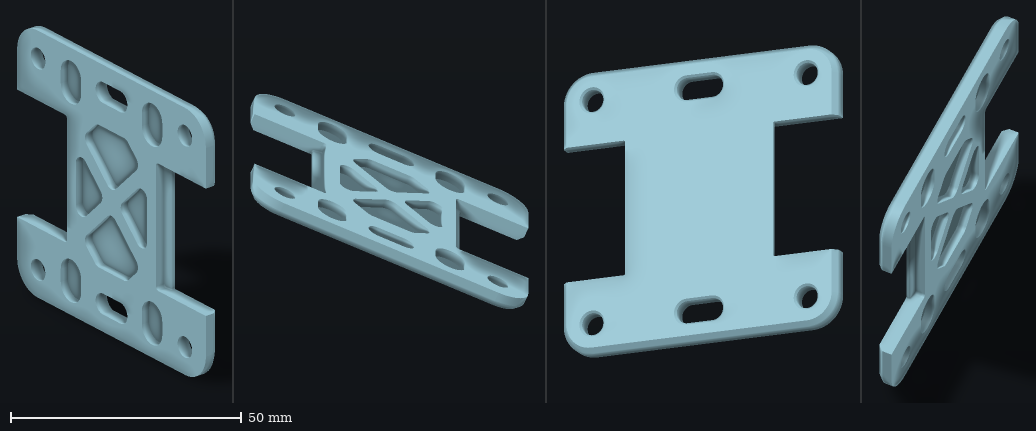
import cadquery as cq
import math

pick_margin = 0.05
clearance = 0.65

width = 65.0
height = 64.0
thickness = 3.5
corner_radius = 7.0

bevel_size = 1.25
bevel_blend = 0.65

notch_half_height = 15.3
web_half_width = 15.35
flange_half_width = 17.5
flange_root_depth = 2.3
flange_slope = 10.0
notch_corner_radius = 0.8
flange_root_fillet = 0.3
flange_edge_radius = 0.3

hole_diameter = 5.0
hole_x = 25.3
hole_z = 25.35
slot_length = 10.9
slot_height = hole_diameter
hole_chamfer = 0.45

pocket_depth = 2.0
oval_width = 7.0
oval_length = 10.2
oval_x = 14.0
oval_z = 23.8
pocket_corner_radius = 2.0
rib_offset = 2.35
side_pocket_x = 12.3
end_pocket_z = 17.1
end_pocket_cut = 22.2


def front_plane(depth=0.0):
    """Sketch plane parallel to the front face, with local axes along +X and +Z."""
    return cq.Workplane(cq.Plane(origin=(0, depth, 0), xDir=(1, 0, 0), normal=(0, -1, 0)))


def plate():
    """Rounded plate with the beveled and blended rim on its back face."""
    body = (
        front_plane()
        .rect(width, height)
        .extrude(-thickness)
        .edges("|Y")
        .fillet(corner_radius)
        .faces(">Y")
        .chamfer(bevel_size)
    )
    bevel_depth = thickness - bevel_size
    bevel_start = cq.selectors.BoxSelector(
        (-width, bevel_depth - pick_margin, -height),
        (width, bevel_depth + pick_margin, height),
    )
    return body.edges(bevel_start).fillet(bevel_blend)


def notch_cutter(side):
    """Clears one side of the web, leaving a flange whose front slopes back to a rounded edge."""
    slope = math.radians(flange_slope)
    reach = width / 2 + clearance
    round_x = flange_half_width - flange_edge_radius
    round_depth = (
        flange_root_depth
        + (round_x - web_half_width) * math.tan(slope)
        + flange_edge_radius / math.cos(slope)
    )
    mid_angle = (slope + math.pi / 2) / 2

    def on_round(angle):
        """Point on that circle, the angle turning from the front towards the side."""
        return (
            round_x + flange_edge_radius * math.sin(angle),
            round_depth - flange_edge_radius * math.cos(angle),
        )

    cutter = (
        cq.Workplane("XY", origin=(0, 0, -notch_half_height))
        .moveTo(web_half_width, -clearance)
        .lineTo(web_half_width, flange_root_depth)
        .lineTo(*on_round(slope))
        .threePointArc(on_round(mid_angle), (flange_half_width, round_depth))
        .lineTo(flange_half_width, thickness + clearance)
        .lineTo(reach, thickness + clearance)
        .lineTo(reach, -clearance)
        .close()
        .extrude(2 * notch_half_height)
        .edges("|Y and <X")
        .fillet(notch_corner_radius)
    )
    root_edge = cq.selectors.NearestToPointSelector((web_half_width, flange_root_depth, 0))
    cutter = cutter.edges(root_edge).fillet(flange_root_fillet)
    return cutter if side > 0 else cutter.mirror("YZ")


def holes():
    """Corner holes and centre slots, passing right through."""
    corners = [(sx * hole_x, sz * hole_z) for sx in (-1, 1) for sz in (-1, 1)]
    round_holes = front_plane().pushPoints(corners).circle(hole_diameter / 2).extrude(-thickness)
    slots = (
        front_plane()
        .pushPoints([(0, -hole_z), (0, hole_z)])
        .slot2D(slot_length, slot_height)
        .extrude(-thickness)
    )
    bores = round_holes.union(slots)
    return bores


def hole_rims():
    """Selects the back edges of the holes and slots: those centred within the two rows."""
    half_row = slot_height / 2 + pick_margin
    rows = [
        cq.selectors.BoxSelector(
            (-width / 2, thickness - pick_margin, row_z - half_row),
            (width / 2, thickness + pick_margin, row_z + half_row),
        )
        for row_z in (-hole_z, hole_z)
    ]
    return rows[0] + rows[1]


def oval_pockets():
    centres = [(sx * oval_x, sz * oval_z) for sx in (-1, 1) for sz in (-1, 1)]
    return front_plane().pushPoints(centres).slot2D(oval_length, oval_width, 90).extrude(-pocket_depth)


def rounded_pocket(points):
    """Pocket with the given (x, z) corners, all rounded alike."""
    pocket = front_plane().polyline(points).close().extrude(-pocket_depth)
    return pocket.edges("|Y").fillet(pocket_corner_radius)


def rib_pockets():
    """Four pockets that leave an X of crossed ribs between them."""
    side_z = side_pocket_x - rib_offset
    cut_x = end_pocket_cut - end_pocket_z
    tip_x = (end_pocket_cut - rib_offset) / 2
    tip_z = end_pocket_cut - tip_x
    pockets = cq.Workplane()
    for sign in (-1, 1):
        side = [(sign * rib_offset, 0), (sign * side_pocket_x, side_z), (sign * side_pocket_x, -side_z)]
        end = [
            (0, sign * rib_offset),
            (tip_x, sign * tip_z),
            (cut_x, sign * end_pocket_z),
            (-cut_x, sign * end_pocket_z),
            (-tip_x, sign * tip_z),
        ]
        pockets = pockets.add(rounded_pocket(side)).add(rounded_pocket(end))
    return pockets.combine()


result = plate()
for side in (-1, 1):
    result = result.cut(notch_cutter(side))
result = result.cut(holes())
result = result.edges(hole_rims()).chamfer(hole_chamfer)
result = result.cut(oval_pockets()).cut(rib_pockets())